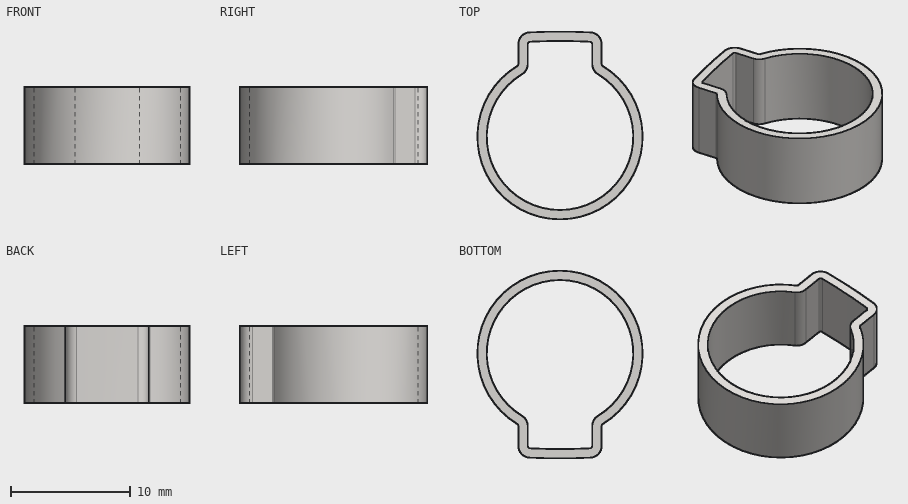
import cadquery as cq
import math

ring_radius = 6.95
total_depth = 15.79
band_width = 6.5
wall = 0.8

ear_half_width = 3.5
ear_crown_radius = 48.95
tight_bend_radius = 0.19
wide_bend_radius = tight_bend_radius + wall
ear_top = total_depth - ring_radius


def clamp_body(inset, ear_bend_radius, neck_bend_radius):
    """Solid ring-and-ear shape whose outline lies inside the outer face by inset."""
    radius = ring_radius - inset
    half_width = ear_half_width - inset
    crown_y = ear_top - inset
    crown_radius = ear_crown_radius - inset
    crown_rise = crown_radius - math.sqrt(crown_radius**2 - half_width**2)
    corner_y = crown_y - crown_rise
    neck_y = math.sqrt(radius**2 - half_width**2)
    body = (
        cq.Workplane("XY")
        .moveTo(half_width, neck_y)
        .lineTo(half_width, corner_y)
        .threePointArc((0, crown_y), (-half_width, corner_y))
        .lineTo(-half_width, neck_y)
        .threePointArc((0, -radius), (half_width, neck_y))
        .close()
        .extrude(band_width)
    )
    for y, bend_radius in ((corner_y, ear_bend_radius), (neck_y, neck_bend_radius)):
        for x in (-half_width, half_width):
            bend_edge = cq.selectors.NearestToPointSelector((x, y, band_width / 2))
            body = body.edges(bend_edge).fillet(bend_radius)
    return body


outer_body = clamp_body(0, wide_bend_radius, tight_bend_radius)
opening = clamp_body(wall, tight_bend_radius, wide_bend_radius)
result = outer_body.cut(opening)